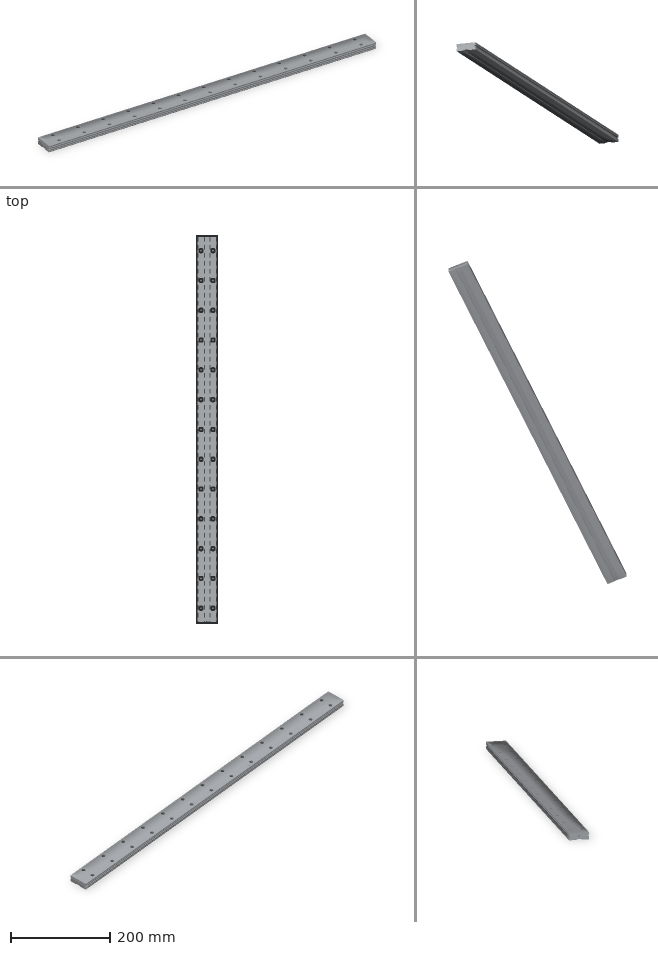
import cadquery as cq

width = 42.0
length = 780.0
height = 15.0
edge_chamfer = 0.6

row_spacing = 24.0
pitch = 60.0
end_offset = pitch / 2
holes_per_row = int(length / pitch)
hole_diameter = 7.65
hole_depth = 5.3

channel_width = 11.0
channel_depth = 1.5

slot_height = 3.4
slot_depth = 2.4

groove_offset = 4.0
groove_mouth = 2.6
groove_depth = 0.8

end_hole_diameter = 3.3
end_hole_depth = 8.0
end_hole_height = height / 2


def rail_body():
    """Bar with its four long edges chamfered."""
    bar = cq.Workplane("XY").box(width, length, height, centered=(True, False, False))
    return bar.edges("|Y").chamfer(edge_chamfer)


def underside_channel():
    return cq.Workplane("XY").box(channel_width, length, channel_depth, centered=(True, False, False))


def side_slot(side):
    """Full-length rectangular slot; side is -1 for the -X face and 1 for the +X face."""
    slot_middle_x = side * (width - slot_depth) / 2
    return (
        cq.Workplane("XZ")
        .center(slot_middle_x, height / 2)
        .rect(slot_depth, slot_height)
        .extrude(-length)
    )


def ball_groove(side, level):
    """Full-length arc groove; level is -1 below the slot and 1 above it."""
    face_x = side * width / 2
    groove_z = height / 2 + level * groove_offset
    return (
        cq.Workplane("XZ")
        .moveTo(face_x, groove_z - groove_mouth / 2)
        .threePointArc((face_x - side * groove_depth, groove_z), (face_x, groove_z + groove_mouth / 2))
        .close()
        .extrude(-length)
    )


def end_hole():
    return (
        cq.Workplane("XZ")
        .center(0, end_hole_height)
        .circle(end_hole_diameter / 2)
        .extrude(-end_hole_depth)
    )


def mounting_holes():
    hole_points = [
        (side * row_spacing / 2, end_offset + index * pitch)
        for side in (-1, 1)
        for index in range(holes_per_row)
    ]
    return (
        cq.Workplane("XY", origin=(0, 0, height))
        .pushPoints(hole_points)
        .circle(hole_diameter / 2)
        .extrude(-hole_depth)
    )


result = rail_body().cut(underside_channel()).cut(end_hole()).cut(mounting_holes())
for side in (-1, 1):
    result = result.cut(side_slot(side))
    for level in (-1, 1):
        result = result.cut(ball_groove(side, level))